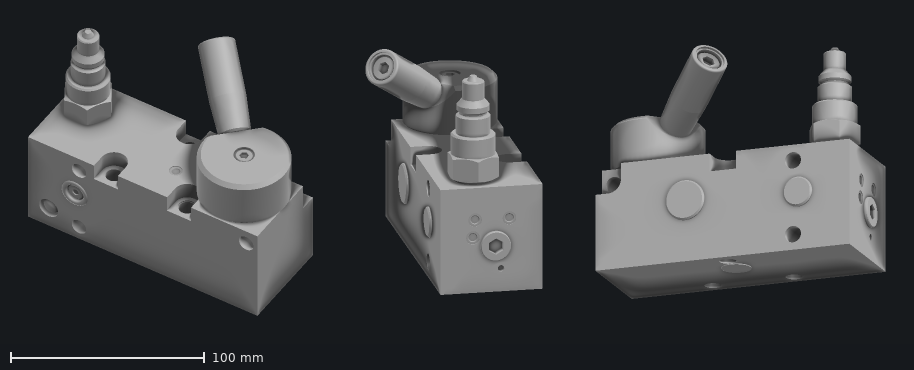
import cadquery as cq
import math

BLOCK_LENGTH = 139.7
BLOCK_WIDTH = 53.8
BLOCK_HEIGHT = 56.5

BOLT_HOLE_RADIUS = 4.4
NOTCH_RADIUS = 7.3
NOTCH_DEPTH = 9.5
NOTCH_INSET = 7.8
FRONT_NOTCHES_X = [47.4, 92.0]
BACK_NOTCH_X = 69.6
CROSS_HOLE_INSET_Z = 8.4
CROSS_HOLE_X = 31.0
CORNER_HOLE_X = 132.8
SPOT_FACE_RADIUS = 4.8
SPOT_FACE_DEPTH = 0.5

BALL_RADIUS = 5.7
BALL_X = 12.5
BALL_Z = 12.4
BALL_RECESS = 0.1

PORT_X = 28.3
PORT_Z = 30.9
PORT_RADIUS = 8.0
PORT_RING_HEIGHT = 0.5
PORT_RING_DEPTH = 0.9
PORT_BORE_RADIUS = 5.1
PORT_BORE_DEPTH = 1.7
PORT_PIN_RADIUS = 4.5
PORT_PIN_CHAMFER = 0.4
PORT_PIN_HOLE_RADIUS = 1.9
BOTTOM_BOSS_HEIGHT = 0.4
BOTTOM_BOSS_RADIUS = 7.8
BOTTOM_BOSS_X = 69.6
BOTTOM_BOSS_Y = 33.6
BACK_BOSS_HEIGHT = 1.5
BACK_BOSS_CHAMFER = 0.9
LARGE_BOSS_RADIUS = 10.7
LARGE_BOSS_X = 90.3
LARGE_BOSS_Z = 32.7

END_PLUG_RADIUS = 8.0
END_PLUG_HEIGHT = 2.0
END_PLUG_CHAMFER = 0.4
END_PLUG_Y = 24.9
END_PLUG_Z = 24.9
END_PLUG_SOCKET = 7.5
END_PLUG_SOCKET_DEPTH = 4.3
SET_SCREW_RADIUS = 3.5
SET_SCREW_RECESS = 0.4
SET_SCREW_SINK_RADIUS = 2.4
SET_SCREW_SINK_TAPER = 45.0
END_SET_SCREWS_YZ = [(35.6, 39.3), (17.5, 39.3), (36.7, 29.8)]
TOP_SET_SCREW_XY = (77.9, 19.2)
PIN_HOLE_RADIUS = 1.7
PIN_HOLE_DEPTH = 2.8
PIN_HOLE_YZ = (21.9, 12.4)

CARTRIDGE_X = 15.5
CARTRIDGE_Y = 33.5
COLLAR_RADIUS = 10.0
HEX_ACROSS_FLATS = 24.2
HEX_BOTTOM = 1.4
HEX_TOP = 14.4
HEX_CROWN_RADIUS = 11.7
HEX_CROWN_DROP = 1.3
SLEEVE_RADIUS = 11.7
SLEEVE_TOP = 25.3
SLEEVE_CHAMFER = 0.9
BARREL_RADIUS = 9.0
BARREL_SHOULDER = 34.7
GROOVE_RADIUS = 7.4
GROOVE_BOTTOM = 35.9
GROOVE_TOP = 36.6
HEAD_RADIUS = 8.5
HEAD_BOTTOM = 37.7
HEAD_TOP = 40.6
STEM_RADIUS = 5.8
STEM_BOTTOM = 43.9
STEM_TOP = 53.4
STEM_CHAMFER = 0.5
TIP_BASE_RADIUS = 3.1
TIP_RADIUS = 1.7
TIP_TOP = 56.0

KNOB_X = 115.9
KNOB_Y = 24.9
KNOB_RADIUS = 24.5
KNOB_NECK_RADIUS = 23.6
KNOB_NECK_HEIGHT = 0.9
KNOB_TOP = 82.7
KNOB_CHAMFER = 2.1
KNOB_BORE_RADIUS = 5.5
KNOB_BORE_DEPTH = 1.4
KNOB_SCREW_RADIUS = 4.5
KNOB_SCREW_DROP = 0.5
KNOB_SCREW_CHAMFER = 0.4
KNOB_SOCKET = 4.4
KNOB_SOCKET_DEPTH = 2.1

LEVER_HEADING = 135.0
LEVER_ELEVATION = 30.0
FLAT_REACH = 17.5
LEVER_ROOT_DROP = 5.3
LEVER_LENGTH = 50.7
LEVER_RADIUS = 9.8
LEVER_ROOT_RADIUS = 8.7
LEVER_TAPER_LENGTH = 20.0
LEVER_ROOT_CHAMFER = 1.1
LEVER_TIP_FILLET = 1.1
LEVER_RIM_RADIUS = 8.0
LEVER_RIM_DEPTH = 1.1
LEVER_BORE_RADIUS = 7.0
LEVER_BORE_DEPTH = 3.5
LEVER_SCREW_RADIUS = 6.0
LEVER_SCREW_HEIGHT = 1.1
LEVER_SOCKET = 6.0
LEVER_SOCKET_DEPTH = 3.5
LEVER_SOCKET_TURN = 30.0


def plane_at(point, outward, x_dir):
    """Sketch plane at a point, with its normal leaving the part."""
    return cq.Workplane(cq.Plane(origin=point, xDir=x_dir, normal=outward))


def front_plane(x, z):
    return plane_at((x, 0, z), (0, -1, 0), (1, 0, 0))


def back_plane(x, z):
    return plane_at((x, BLOCK_WIDTH, z), (0, 1, 0), (1, 0, 0))


def left_plane(y, z):
    return plane_at((0, y, z), (-1, 0, 0), (0, 0, 1))


def top_plane(x, y):
    return plane_at((x, y, BLOCK_HEIGHT), (0, 0, 1), (1, 0, 0))


def corner_diameter(across_flats):
    """Diameter across the corners of a hexagon."""
    return across_flats / math.cos(math.pi / 6)


def hex_socket(plane, across_flats, depth):
    return plane.polygon(6, corner_diameter(across_flats)).extrude(-depth)




def bolt_notch(x, side_y, inward):
    """Round-ended notch open to a long side, with a bolt hole down through the block."""
    center_y = side_y + inward * NOTCH_INSET
    slot_y = side_y + inward * NOTCH_INSET / 2
    plane = top_plane(x, center_y)
    hole = plane.circle(BOLT_HOLE_RADIUS).extrude(-BLOCK_HEIGHT)
    round_end = plane.circle(NOTCH_RADIUS).extrude(-NOTCH_DEPTH)
    mouth = top_plane(x, slot_y).rect(2 * NOTCH_RADIUS, NOTCH_INSET).extrude(-NOTCH_DEPTH)
    return hole.union(round_end).union(mouth)


def cross_hole(x, z):
    return front_plane(x, z).circle(BOLT_HOLE_RADIUS).extrude(-BLOCK_WIDTH)


def corner_notch():
    """Notch at the back right corner, open to the top and the right end, rounded below."""
    z = BLOCK_HEIGHT - CROSS_HOLE_INSET_Z
    outline = (
        back_plane(CORNER_HOLE_X, z)
        .moveTo(-NOTCH_RADIUS, -CROSS_HOLE_INSET_Z)
        .lineTo(-NOTCH_RADIUS, 0)
        .radiusArc((0, NOTCH_RADIUS), NOTCH_RADIUS)
        .lineTo(BLOCK_LENGTH - CORNER_HOLE_X, NOTCH_RADIUS)
        .lineTo(BLOCK_LENGTH - CORNER_HOLE_X, -CROSS_HOLE_INSET_Z)
        .close()
    )
    return outline.extrude(-NOTCH_DEPTH)


def set_screw_recess(plane):
    """Shallow round recess with a smaller tapered recess in its floor."""
    recess = plane.circle(SET_SCREW_RADIUS).extrude(-SET_SCREW_RECESS)
    floor = plane.workplane(offset=-SET_SCREW_RECESS)
    sink = floor.circle(SET_SCREW_SINK_RADIUS).extrude(-SET_SCREW_RECESS, taper=SET_SCREW_SINK_TAPER)
    return recess.union(sink)


def add_ring_port(block):
    """Half-round ring seated in a pocket, around a bore that holds a drilled pin."""
    plane = front_plane(PORT_X, PORT_Z)
    pocket = plane.circle(PORT_RADIUS).extrude(-PORT_RING_DEPTH)
    bore = plane.circle(PORT_BORE_RADIUS).extrude(-PORT_BORE_DEPTH)

    ring_middle = (PORT_RADIUS + PORT_BORE_RADIUS) / 2
    ring = (
        cq.Workplane("XY")
        .moveTo(PORT_BORE_RADIUS, PORT_RING_DEPTH)
        .threePointArc((ring_middle, -PORT_RING_HEIGHT), (PORT_RADIUS, PORT_RING_DEPTH))
        .close()
        .revolve(360, (0, 0, 0), (0, 1, 0))
        .translate((PORT_X, 0, PORT_Z))
    )
    pin = (
        plane.workplane(offset=-PORT_BORE_DEPTH)
        .circle(PORT_PIN_RADIUS)
        .extrude(PORT_BORE_DEPTH - PORT_RING_DEPTH)
        .faces("<Y")
        .chamfer(PORT_PIN_CHAMFER)
    )
    pin_hole = plane.circle(PORT_PIN_HOLE_RADIUS).extrude(-PORT_BORE_DEPTH)
    return block.cut(pocket).cut(bore).union(pin.cut(pin_hole)).union(ring)


def add_ball_plug(block):
    """Round bore with a ball seated just below the front face."""
    depth = BALL_RADIUS + BALL_RECESS
    bore = front_plane(BALL_X, BALL_Z).circle(BALL_RADIUS).extrude(-depth)
    ball = cq.Workplane("XY").sphere(BALL_RADIUS).translate((BALL_X, depth, BALL_Z))
    return block.cut(bore.cut(ball))


def add_end_plug(block):
    plane = left_plane(END_PLUG_Y, END_PLUG_Z)
    plug = plane.circle(END_PLUG_RADIUS).extrude(END_PLUG_HEIGHT).faces("<X").chamfer(END_PLUG_CHAMFER)
    socket = hex_socket(plane.workplane(offset=END_PLUG_HEIGHT), END_PLUG_SOCKET, END_PLUG_SOCKET_DEPTH)
    return block.union(plug).cut(socket)


def back_boss(x, z, radius):
    return back_plane(x, z).circle(radius).extrude(BACK_BOSS_HEIGHT).faces(">Y").chamfer(BACK_BOSS_CHAMFER)


def bottom_boss():
    plane = plane_at((BOTTOM_BOSS_X, BOTTOM_BOSS_Y, 0), (0, 0, -1), (1, 0, 0))
    return plane.circle(BOTTOM_BOSS_RADIUS).extrude(BOTTOM_BOSS_HEIGHT)


def cartridge():
    """Stepped round body rising from a chamfered hexagon."""
    base = top_plane(CARTRIDGE_X, CARTRIDGE_Y)
    collar = base.circle(COLLAR_RADIUS).extrude(HEX_BOTTOM)

    corner_radius = corner_diameter(HEX_ACROSS_FLATS) / 2
    hexagon = (
        base.workplane(offset=HEX_BOTTOM).polygon(6, 2 * corner_radius).extrude(HEX_TOP - HEX_BOTTOM)
    )
    crown = [
        (0, HEX_BOTTOM),
        (HEX_CROWN_RADIUS, HEX_BOTTOM),
        (corner_radius, HEX_BOTTOM + HEX_CROWN_DROP),
        (corner_radius, HEX_TOP - HEX_CROWN_DROP),
        (HEX_CROWN_RADIUS, HEX_TOP),
        (0, HEX_TOP),
    ]
    steps = [
        (0, HEX_TOP),
        (SLEEVE_RADIUS, HEX_TOP),
        (SLEEVE_RADIUS, SLEEVE_TOP - SLEEVE_CHAMFER),
        (SLEEVE_RADIUS - SLEEVE_CHAMFER, SLEEVE_TOP),
        (BARREL_RADIUS, SLEEVE_TOP),
        (BARREL_RADIUS, BARREL_SHOULDER),
        (GROOVE_RADIUS, GROOVE_BOTTOM),
        (GROOVE_RADIUS, GROOVE_TOP),
        (HEAD_RADIUS, HEAD_BOTTOM),
        (HEAD_RADIUS, HEAD_TOP),
        (STEM_RADIUS, STEM_BOTTOM),
        (STEM_RADIUS, STEM_TOP - STEM_CHAMFER),
        (STEM_RADIUS - STEM_CHAMFER, STEM_TOP),
        (TIP_BASE_RADIUS, STEM_TOP),
        (TIP_RADIUS, TIP_TOP),
        (0, TIP_TOP),
    ]

    def turned(profile):
        solid = cq.Workplane("XZ").polyline(profile).close().revolve(360, (0, 0, 0), (0, 1, 0))
        return solid.translate((CARTRIDGE_X, CARTRIDGE_Y, BLOCK_HEIGHT))

    return collar.union(hexagon.intersect(turned(crown))).union(turned(steps))


def make_valve_block():
    block = cq.Workplane("XY").box(BLOCK_LENGTH, BLOCK_WIDTH, BLOCK_HEIGHT, centered=False)

    for x in FRONT_NOTCHES_X:
        block = block.cut(bolt_notch(x, 0, 1))
    spot_face = top_plane(FRONT_NOTCHES_X[-1], NOTCH_INSET).circle(SPOT_FACE_RADIUS)
    block = block.cut(spot_face.extrude(-NOTCH_DEPTH - SPOT_FACE_DEPTH))
    block = block.cut(bolt_notch(BACK_NOTCH_X, BLOCK_WIDTH, -1))

    upper_z = BLOCK_HEIGHT - CROSS_HOLE_INSET_Z
    for x, z in [(CROSS_HOLE_X, CROSS_HOLE_INSET_Z), (CROSS_HOLE_X, upper_z), (CORNER_HOLE_X, upper_z)]:
        block = block.cut(cross_hole(x, z))
    block = block.cut(corner_notch())

    for y, z in END_SET_SCREWS_YZ:
        block = block.cut(set_screw_recess(left_plane(y, z)))
    block = block.cut(set_screw_recess(top_plane(*TOP_SET_SCREW_XY)))
    block = block.cut(left_plane(*PIN_HOLE_YZ).circle(PIN_HOLE_RADIUS).extrude(-PIN_HOLE_DEPTH))

    block = add_ball_plug(block)
    block = add_ring_port(block)
    block = add_end_plug(block)
    block = block.union(back_boss(PORT_X, PORT_Z, PORT_RADIUS))
    block = block.union(back_boss(LARGE_BOSS_X, LARGE_BOSS_Z, LARGE_BOSS_RADIUS))
    block = block.union(bottom_boss())
    return block.union(cartridge())




def lever_plane():
    """Plane at the lever root, its normal running out along the lever."""
    heading = math.radians(LEVER_HEADING)
    elevation = math.radians(LEVER_ELEVATION)
    reach = FLAT_REACH + LEVER_ROOT_DROP * math.tan(elevation)
    root = (
        KNOB_X + reach * math.cos(heading),
        KNOB_Y + reach * math.sin(heading),
        KNOB_TOP - LEVER_ROOT_DROP,
    )
    along = (
        math.cos(elevation) * math.cos(heading),
        math.cos(elevation) * math.sin(heading),
        math.sin(elevation),
    )
    level = (math.sin(heading), -math.cos(heading), 0)
    return plane_at(root, along, level)


def knob_disc():
    base = top_plane(KNOB_X, KNOB_Y)
    neck = base.circle(KNOB_NECK_RADIUS).extrude(KNOB_NECK_HEIGHT)
    disc_height = KNOB_TOP - BLOCK_HEIGHT - KNOB_NECK_HEIGHT
    disc = base.workplane(offset=KNOB_NECK_HEIGHT).circle(KNOB_RADIUS).extrude(disc_height)
    disc = disc.faces(">Z").chamfer(KNOB_CHAMFER).union(neck)

    flat_cut = lever_plane().rect(4 * KNOB_RADIUS, 4 * KNOB_RADIUS).extrude(KNOB_RADIUS)
    return disc.cut(flat_cut)


def knob_screw_recess():
    """Ring-shaped recess around a screw head with a hexagon socket."""
    top = plane_at((KNOB_X, KNOB_Y, KNOB_TOP), (0, 0, 1), (0, 1, 0))
    bore = top.circle(KNOB_BORE_RADIUS).extrude(-KNOB_BORE_DEPTH)
    head_height = KNOB_BORE_DEPTH - KNOB_SCREW_DROP
    head = top.workplane(offset=-KNOB_BORE_DEPTH).circle(KNOB_SCREW_RADIUS).extrude(head_height)
    head = head.faces(">Z").chamfer(KNOB_SCREW_CHAMFER)
    return bore.cut(head).union(hex_socket(top, KNOB_SOCKET, KNOB_SOCKET_DEPTH))


def lever():
    """Tapered grip with a rounded tip and a stepped bore around a socket screw head."""
    root = lever_plane()
    tip = root.workplane(offset=LEVER_LENGTH)
    profile = (
        cq.Workplane(cq.Plane(origin=root.plane.origin, xDir=root.plane.xDir, normal=-root.plane.yDir))
        .lineTo(LEVER_ROOT_RADIUS - LEVER_ROOT_CHAMFER, 0)
        .lineTo(LEVER_ROOT_RADIUS, LEVER_ROOT_CHAMFER)
        .lineTo(LEVER_RADIUS, LEVER_TAPER_LENGTH)
        .lineTo(LEVER_RADIUS, LEVER_LENGTH - LEVER_TIP_FILLET)
        .radiusArc((LEVER_RADIUS - LEVER_TIP_FILLET, LEVER_LENGTH), -LEVER_TIP_FILLET)
        .lineTo(0, LEVER_LENGTH)
        .close()
    )
    grip = profile.revolve(360, (0, 0, 0), (0, 1, 0))
    rim = tip.circle(LEVER_RIM_RADIUS).extrude(-LEVER_RIM_DEPTH)
    bore = tip.circle(LEVER_BORE_RADIUS).extrude(-LEVER_BORE_DEPTH)
    bore_floor = tip.workplane(offset=-LEVER_BORE_DEPTH)
    screw = bore_floor.circle(LEVER_SCREW_RADIUS).extrude(LEVER_SCREW_HEIGHT)
    screw_top = bore_floor.workplane(offset=LEVER_SCREW_HEIGHT).transformed(rotate=(0, 0, LEVER_SOCKET_TURN))
    socket = hex_socket(screw_top, LEVER_SOCKET, LEVER_SOCKET_DEPTH)
    return grip.cut(rim).cut(bore).union(screw).cut(socket)


def make_lever_knob():
    return knob_disc().cut(knob_screw_recess()).union(lever())


valve_block = make_valve_block()
lever_knob = make_lever_knob()

result = cq.Compound.makeCompound([valve_block.val(), lever_knob.val()])